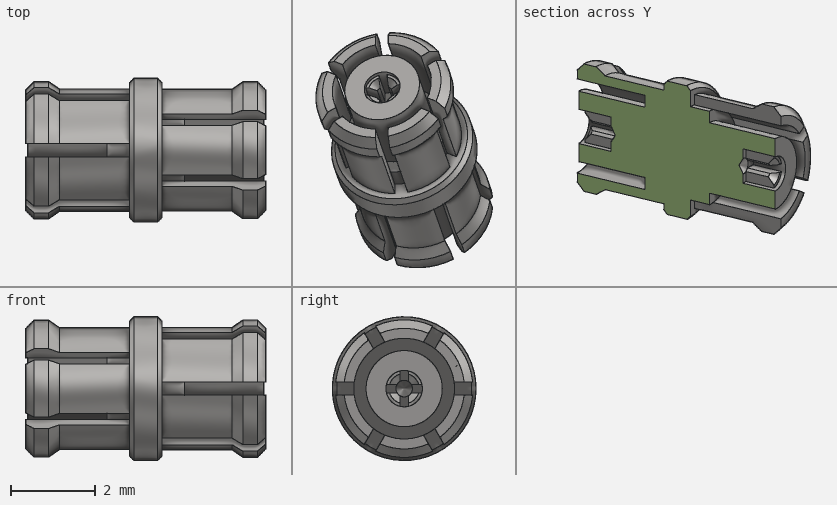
import cadquery as cq
import math

body_length = 5.68
half_length = body_length / 2

flange_radius = 1.70
flange_width = 0.77
flange_chamfer = 0.105

finger_radius = 1.45
bell_radius = 1.625
bell_chamfer = 0.20
bell_land = 0.345
bell_taper = 0.255
finger_bore_radius = 1.19
finger_bore_depth = 1.92

slot_count = 6
slot_width = 0.31
left_slot_start_angle = 90.0
right_slot_start_angle = 60.0

insulator_radius = 0.90
insulator_recess = 0.05
socket_radius = 0.43

contact_recess = 0.11
contact_slot_width = 0.20
contact_slot_depth = 0.80
contact_hole_radius = 0.195
countersink_radius = 0.357
countersink_depth = countersink_radius - contact_hole_radius
drill_tip_angle = 118.0
drill_tip_depth = contact_hole_radius / math.tan(math.radians(drill_tip_angle / 2))

flange_face = flange_width / 2
bore_floor = half_length - finger_bore_depth
insulator_face = half_length - insulator_recess
contact_face = insulator_face - contact_recess
contact_floor = contact_face - contact_slot_depth


def revolve_about_x(outline):
    """Revolve a closed outline of (x, radius) points about the X axis."""
    return cq.Workplane("XY").polyline(outline).close().revolve(360, (0, 0, 0), (1, 0, 0))


def cylinder_along_x(radius, start, end):
    return cq.Workplane("YZ").workplane(offset=start).circle(radius).extrude(end - start)


def make_flange():
    flange = cylinder_along_x(flange_radius, -flange_face, flange_face)
    return flange.edges().chamfer(flange_chamfer)


def make_shell():
    """Tube on the +X side with a bell-shaped end, bored out to the bore floor."""
    bell_front = half_length - bell_chamfer
    bell_back = bell_front - bell_land
    shell = revolve_about_x([
        (0, 0),
        (0, finger_radius),
        (bell_back - bell_taper, finger_radius),
        (bell_back, bell_radius),
        (bell_front, bell_radius),
        (half_length, bell_radius - bell_chamfer),
        (half_length, 0),
    ])
    return shell.cut(cylinder_along_x(finger_bore_radius, bore_floor, half_length))


def make_finger_slots(start_angle):
    """Radial slots from the flange face to the +X end, no deeper than the finger bore."""
    slot_length = half_length - flange_face
    slot = (
        cq.Workplane("XY")
        .box(slot_length, bell_radius, slot_width, centered=(False, False, True))
        .translate((flange_face, 0, 0))
    )
    slots = cq.Workplane("XY")
    for index in range(slot_count):
        angle = start_angle + index * 360 / slot_count
        slots = slots.add(slot.rotate((0, 0, 0), (1, 0, 0), angle))
    core = cylinder_along_x(finger_bore_radius, flange_face, half_length)
    return slots.combine().cut(core)


def make_contact_cavity():
    """Recess, countersunk pointed hole and cross slots of the centre contact."""
    cavity = cylinder_along_x(socket_radius, contact_face, insulator_face)
    hole = revolve_about_x([
        (contact_floor - drill_tip_depth, 0),
        (contact_floor, contact_hole_radius),
        (contact_face - countersink_depth, contact_hole_radius),
        (contact_face, countersink_radius),
        (contact_face, 0),
    ])
    slot = (
        cq.Workplane("XY")
        .box(contact_slot_depth, 2 * socket_radius, contact_slot_width, centered=(False, True, True))
        .translate((contact_floor, 0, 0))
    )
    cross = slot.union(slot.rotate((0, 0, 0), (1, 0, 0), 90))
    cross = cross.intersect(cylinder_along_x(socket_radius, contact_floor, contact_face))
    return cavity.union(hole).union(cross)


def make_end(slot_start_angle):
    """Complete +X half of the connector."""
    end = make_shell().cut(make_finger_slots(slot_start_angle))
    end = end.union(cylinder_along_x(insulator_radius, 0, insulator_face))
    return end.cut(make_contact_cavity())


right_end = make_end(right_slot_start_angle)
left_end = make_end(left_slot_start_angle).mirror("YZ")
result = make_flange().union(right_end).union(left_end)